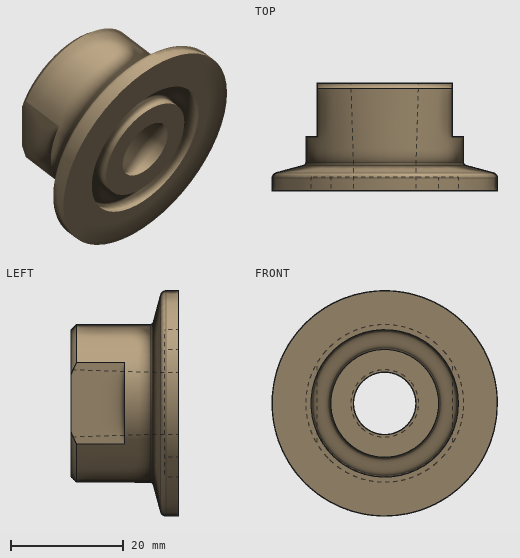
import cadquery as cq
import math

total_length = 19.1

flange_radius = 20.0
flange_edge_height = 3.0
flange_slope = math.radians(15)
rim_fillet = 1.0
neck_fillet = 0.5

body_radius = 14.0
body_chamfer = 1.0
across_flats = 24.0
flats_start = 9.6

groove_outer_radius = 13.1
groove_inner_radius = 9.55
groove_depth = 2.5
groove_fillet = 0.3

bore_radius = 5.5
straight_bore_length = 4.0
taper_ratio = 1 / 16
bore_end_radius = bore_radius + (total_length - straight_bore_length) * taper_ratio / 2


def revolve_profile(profile):
    """Revolve a (radius, axial position) profile about the Y axis."""
    return profile.close().revolve(360, (0, 0, 0), (0, 1, 0))


def make_blank():
    neck_height = flange_edge_height + (flange_radius - body_radius) * math.tan(flange_slope)
    blank = revolve_profile(
        cq.Workplane("XY")
        .lineTo(flange_radius, 0)
        .lineTo(flange_radius, flange_edge_height)
        .lineTo(body_radius, neck_height)
        .lineTo(body_radius, total_length)
        .lineTo(0, total_length)
    )

    def circle_at(radius, height):
        reach = radius + 0.05
        return cq.selectors.BoxSelector(
            (-reach, height - 0.05, -reach), (reach, height + 0.05, reach), boundingbox=True
        )

    blank = blank.edges(circle_at(flange_radius, flange_edge_height)).fillet(rim_fillet)
    blank = blank.edges(circle_at(body_radius, neck_height)).fillet(neck_fillet)
    return blank.faces(">Y").edges().chamfer(body_chamfer)


def make_flat_cutters():
    flat_length = total_length - flats_start
    cutters = cq.Workplane("XY")
    for side in (-1, 1):
        cutter = cq.Workplane("XY").box(body_radius, flat_length, 2 * body_radius)
        cutters = cutters.add(
            cutter.translate((side * (across_flats + body_radius) / 2, flats_start + flat_length / 2, 0))
        )
    return cutters.combine()


def make_groove():
    groove = revolve_profile(
        cq.Workplane("XY")
        .moveTo(groove_inner_radius, 0)
        .lineTo(groove_outer_radius, 0)
        .lineTo(groove_outer_radius, groove_depth)
        .lineTo(groove_inner_radius, groove_depth)
    )
    return groove.faces(">Y").edges().fillet(groove_fillet)


def make_bore():
    return revolve_profile(
        cq.Workplane("XY")
        .lineTo(bore_radius, 0)
        .lineTo(bore_radius, straight_bore_length)
        .lineTo(bore_end_radius, total_length)
        .lineTo(0, total_length)
    )


result = make_blank().cut(make_flat_cutters()).cut(make_groove()).cut(make_bore())